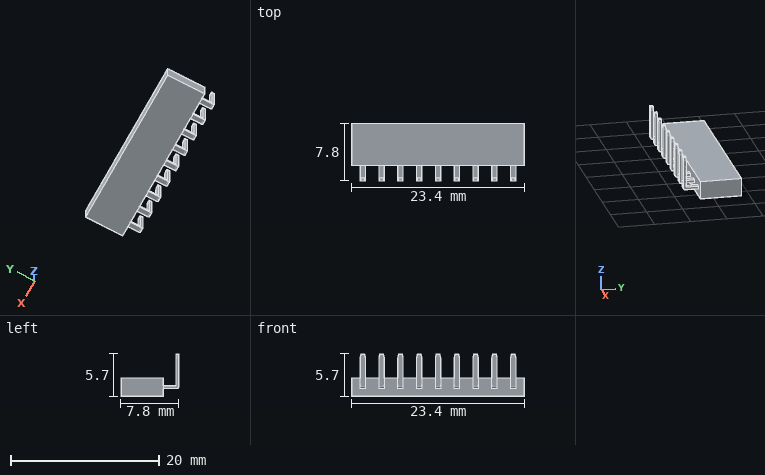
import cadquery as cq

body_length = 23.35
body_depth = 5.7
body_height = 2.5

pin_count = 9
end_margin = 1.52
pin_pitch = (body_length - 2 * end_margin) / (pin_count - 1)
pin_width = 0.75
pin_thickness = 0.4
pin_reach = 2.1
pin_top = 5.7
pin_bottom = (body_height - pin_thickness) / 2
outer_bend_radius = 0.28
inner_bend_radius = 0.1
tip_height = 0.5
tip_inset = 0.12


def make_body():
    """Plain block with its front face on Y = 0 and its base on Z = 0."""
    return cq.Workplane("XY").box(body_length, body_depth, body_height, centered=(True, False, False))


def make_pin():
    """L-shaped pin centred on X = 0, with a rounded bend and a tapered tip."""
    foot = (
        cq.Workplane("XY")
        .box(pin_width, pin_reach, pin_thickness, centered=(True, False, False))
        .translate((0, -pin_reach, pin_bottom))
    )
    shoulder = pin_top - tip_height
    half_width = pin_width / 2
    half_tip = half_width - tip_inset
    upright = (
        cq.Workplane("XZ", origin=(0, -pin_reach, 0))
        .polyline([
            (-half_width, pin_bottom),
            (half_width, pin_bottom),
            (half_width, shoulder),
            (half_tip, pin_top),
            (-half_tip, pin_top),
            (-half_width, shoulder),
        ])
        .close()
        .extrude(-pin_thickness)
    )
    pin = foot.union(upright).clean()
    pin = pin.faces("<Y").edges("<Z").fillet(outer_bend_radius)
    inner_corner = cq.selectors.NearestToPointSelector(
        (0, pin_thickness - pin_reach, pin_bottom + pin_thickness)
    )
    return pin.edges(inner_corner).fillet(inner_bend_radius)


result = make_body()
pin = make_pin()
for index in range(pin_count):
    pin_x = (index - (pin_count - 1) / 2) * pin_pitch
    result = result.union(pin.translate((pin_x, 0, 0)))